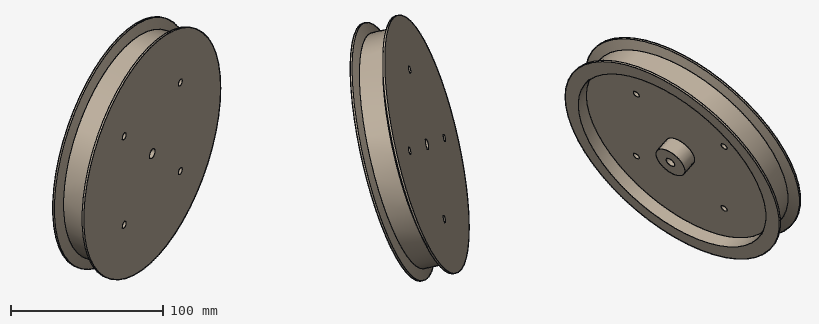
import cadquery as cq

rim_diameter = 174.0
rim_width = 24.0
groove_diameter = 159.0
groove_floor_width = 16.2
edge_width = 1.4

recess_diameter = 152.5
recess_depth = 9.0

boss_diameter = 23.5
boss_projection = 2.0
bore_diameter = 7.0

bolt_hole_diameter = 4.9
bolt_hole_spacing = 71.3


def cylinder(diameter, start, length):
    """Cylinder on the X axis, from X = start towards +X."""
    return cq.Workplane("YZ", origin=(start, 0, 0)).circle(diameter / 2).extrude(length)


def grooved_wheel():
    """Solid wheel with a belt groove between two tapered flanges."""
    rim_radius = rim_diameter / 2
    groove_radius = groove_diameter / 2
    flange_width = (rim_width - groove_floor_width) / 2
    profile = (
        cq.Workplane("XY")
        .moveTo(0, 0)
        .lineTo(0, rim_radius)
        .lineTo(edge_width, rim_radius)
        .lineTo(flange_width, groove_radius)
        .lineTo(rim_width - flange_width, groove_radius)
        .lineTo(rim_width - edge_width, rim_radius)
        .lineTo(rim_width, rim_radius)
        .lineTo(rim_width, 0)
        .close()
    )
    return profile.revolve(360, (0, 0, 0), (1, 0, 0))


def bolt_holes():
    """Four through holes at the corners of a square."""
    return (
        cq.Workplane("YZ")
        .rect(bolt_hole_spacing, bolt_hole_spacing, forConstruction=True)
        .vertices()
        .circle(bolt_hole_diameter / 2)
        .extrude(rim_width)
    )


recess = cylinder(recess_diameter, 0, recess_depth)
boss = cylinder(boss_diameter, -boss_projection, boss_projection + recess_depth)
bore = cylinder(bore_diameter, -boss_projection, boss_projection + rim_width)

result = grooved_wheel().cut(recess).union(boss).cut(bore).cut(bolt_holes())